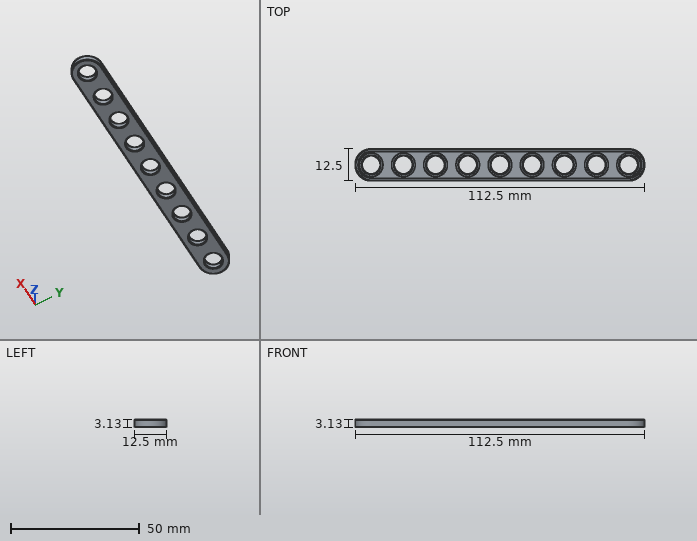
import cadquery as cq

pitch = 12.5
hole_count = 9
hole_diameter = 7.0
rim_width = 1.1
recess_depth = 0.2
edge_chamfer = 0.3

length = hole_count * pitch
width = pitch
thickness = pitch / 4
collar_diameter = hole_diameter + 2 * rim_width


def cylinders(diameter, height):
    """One upright cylinder at every hole position, standing on Z = 0."""
    positions = cq.Workplane("XY").rarray(pitch, 1, hole_count, 1)
    return positions.circle(diameter / 2).extrude(height)


def make_bar():
    """Round-ended bar with its row of through holes, every rim bevelled."""
    bar = cq.Workplane("XY").slot2D(length, width).extrude(thickness)
    bar = bar.cut(cylinders(hole_diameter, thickness))
    return bar.faces("|Z").edges().chamfer(edge_chamfer)


def make_recess():
    """Shallow web pocket inside the border, leaving a collar around each hole."""
    pocket = (
        cq.Workplane("XY")
        .slot2D(length - 2 * rim_width, width - 2 * rim_width)
        .extrude(recess_depth)
        .cut(cylinders(collar_diameter, recess_depth))
    )
    return pocket.translate((0, 0, thickness - recess_depth))


result = make_bar().cut(make_recess())